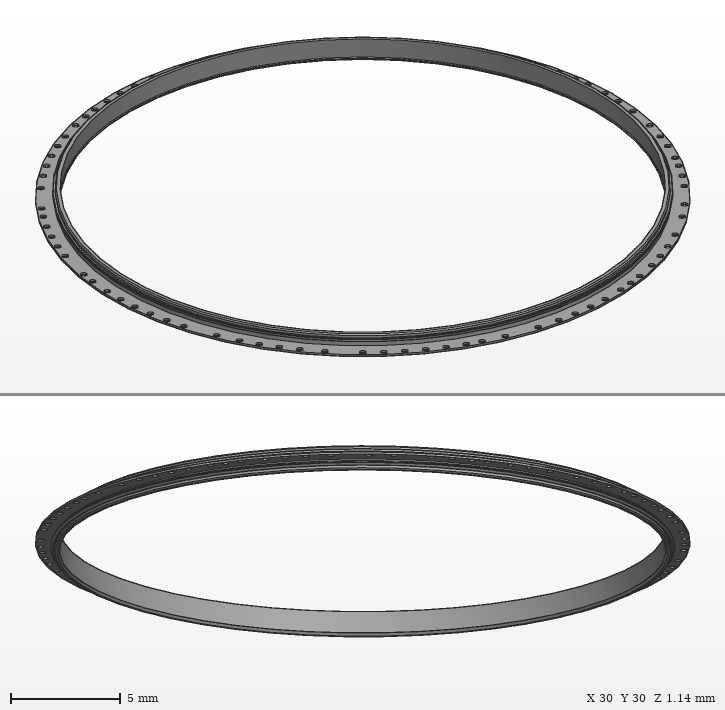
import cadquery as cq
import math

HALF_HEIGHT = 0.57

FLANGE_RADIUS = 15.0
FLANGE_TOP = 0.015
FLANGE_BOTTOM = -0.1

NECK_RADIUS = 14.17
TOP_LIP_RADIUS = 14.1
RIM_CHAMFER = 0.05

UPPER_RIB_RADIUS = 14.23
UPPER_RIB_TOP = 0.4
UPPER_RIB_BOTTOM = 0.25
UPPER_RIB_CHAMFER = 0.03

LOWER_RIB_RADIUS = 14.32
LOWER_RIB_TOP = -0.18
LOWER_RIB_BOTTOM = -0.4
LOWER_RIB_CHAMFER = 0.1

BORE_TOP_RADIUS = 13.87
BORE_LOW_RADIUS = 13.95
BORE_LOW_Z = -0.42
LIP_RADIUS = 13.9
LIP_Z = -0.45
BORE_BOTTOM_RADIUS = 14.0

HOLE_DIAMETER = 0.3
HOLE_CIRCLE_RADIUS = 14.77
HOLE_PLACES = 96
HOLE_PITCH = 360 / HOLE_PLACES
HOLE_SHIFT = HOLE_PITCH / 5
EMPTY_PLACES = {5, 8, 16, 27, 32, 40, 42, 56, 63, 72, 79, 88}
BACKWARD_PLACES = {0, 12, 17, 24, 28, 33, 43, 48, 49, 65, 73, 86, 89}
FORWARD_PLACES = {4, 7, 15, 20, 39, 55, 57, 78, 94}


def rib_points(radius, top, bottom, chamfer):
    """Outer corners of a rib, from its top face round to its bottom face."""
    return [
        (radius - chamfer, top),
        (radius, top - chamfer),
        (radius, bottom + chamfer),
        (radius - chamfer, bottom),
    ]


def make_ring():
    """Revolve the half section of sleeve, ribs and flange about Z."""
    section = [
        (BORE_TOP_RADIUS, HALF_HEIGHT),
        (TOP_LIP_RADIUS - RIM_CHAMFER, HALF_HEIGHT),
        (TOP_LIP_RADIUS, HALF_HEIGHT - RIM_CHAMFER),
        (TOP_LIP_RADIUS, UPPER_RIB_TOP),
        *rib_points(UPPER_RIB_RADIUS, UPPER_RIB_TOP, UPPER_RIB_BOTTOM, UPPER_RIB_CHAMFER),
        (NECK_RADIUS, UPPER_RIB_BOTTOM),
        (NECK_RADIUS, FLANGE_TOP),
        (FLANGE_RADIUS, FLANGE_TOP),
        (FLANGE_RADIUS, FLANGE_BOTTOM),
        (NECK_RADIUS, FLANGE_BOTTOM),
        (NECK_RADIUS, LOWER_RIB_TOP),
        *rib_points(LOWER_RIB_RADIUS, LOWER_RIB_TOP, LOWER_RIB_BOTTOM, LOWER_RIB_CHAMFER),
        (NECK_RADIUS, LOWER_RIB_BOTTOM),
        (NECK_RADIUS, RIM_CHAMFER - HALF_HEIGHT),
        (NECK_RADIUS - RIM_CHAMFER, -HALF_HEIGHT),
        (BORE_BOTTOM_RADIUS, -HALF_HEIGHT),
        (LIP_RADIUS, LIP_Z),
        (BORE_LOW_RADIUS, BORE_LOW_Z),
    ]
    return cq.Workplane("XZ").polyline(section).close().revolve(360, (0, 0), (0, 1))


def hole_angle(place):
    """Angle in degrees of the hole at a numbered place on the hole circle."""
    angle = place * HOLE_PITCH
    if place in BACKWARD_PLACES:
        angle -= HOLE_SHIFT
    elif place in FORWARD_PLACES:
        angle += HOLE_SHIFT
    return angle


def make_hole_pins():
    """Pins that pass through the flange where its holes go."""
    centers = []
    for place in range(HOLE_PLACES):
        if place in EMPTY_PLACES:
            continue
        angle = math.radians(hole_angle(place))
        centers.append((HOLE_CIRCLE_RADIUS * math.cos(angle), HOLE_CIRCLE_RADIUS * math.sin(angle)))
    pins = cq.Workplane("XY").workplane(offset=FLANGE_BOTTOM).pushPoints(centers)
    return pins.circle(HOLE_DIAMETER / 2).extrude(FLANGE_TOP - FLANGE_BOTTOM)


result = make_ring().cut(make_hole_pins())